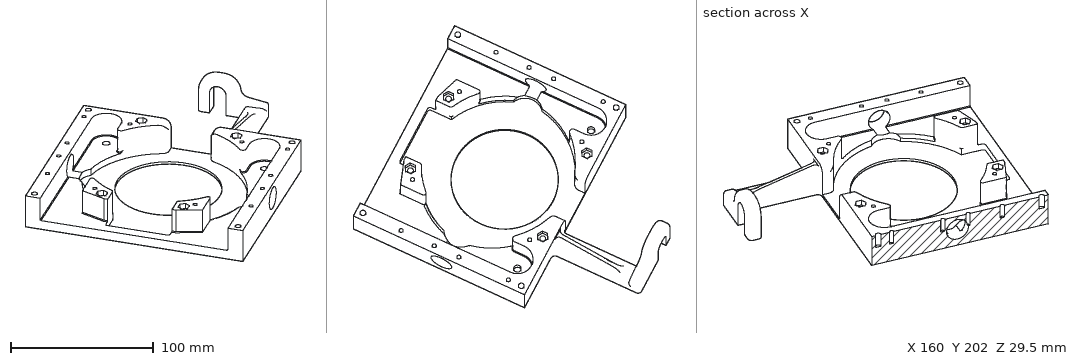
import cadquery as cq
import math

width = 160.0
depth = 134.0
height = 25.0
floor_z = 7.0
recess_z = 2.0
rail_width = 11.0
rail_inner_x = width / 2 - rail_width
foot = 0.6

bore_y = 78.8
bore_radius = 37.5
cross_hole_y = 68.9
cross_hole_z = 13.7
cross_hole_radius = 8.0
recess_radius = 58.4
lobe_x = 49.9
lobe_y = 69.9
lobe_radius = 12.3
tray_half_width = 23.6
tray_front_y = 7.7
tray_corner_radius = 2.0
rim_chamfer = 2.2
rim_front_y = 38.0

notch_half_width = 15.5
notch_top_radius = 6.3
notch_corner_radius = 5.3

bay_radius = 11.0
bay_x = rail_inner_x - bay_radius
bay_y = 117.5
bay_tip_radius = 2.5
bay_hole_radius = 2.6
bay_hole_depth = 4.0

post_outer_x = 44.2
post_bend_x = 26.5
post_front_y = 13.1
post_slant_y = 19.2
post_back_radius = 1.6
post_corner_radius = 2.0

screw_edge = 5.0
screw_x = width / 2 - screw_edge
large_screw_radius = 2.0
small_screw_radius = 1.5
screw_depth = 10.0
large_screw_ys = (screw_edge, depth - screw_edge)
small_screw_ys = (35.0, 60.8, 80.0, 118.8)
pin_places = ((41.2, 118.8), (37.0, 25.0))
nut_places = ((35.0, 125.8), (30.0, 20.0))
nut_flats = 7.0
nut_depth = 4.0
bolt_radius = 2.0

arm_left_x = 19.5
arm_right_x = 35.1
arm_height = 10.0
arm_round = 3.0
arm_flare = 3.2
rib_width = 2.6
rib_length = 50.0
rib_height = 21.8
rib_foot = 1.8
hook_back_y = 202.0
hook_thickness = 10.0
hook_half_width = 15.0
hook_height = 29.5
hook_corner_radius = 13.0
hook_slot_radius = 6.0
hook_slot_z = 16.2
hook_bend_radius = 6.0
bar_inner_z = 13.7
bar_outer_z = 11.0
bar_end_round = 1.6


def block(x0, x1, y0, y1, z0, z1):
    """Axis-aligned box between two opposite corners."""
    return cq.Workplane("XY").box(x1 - x0, y1 - y0, z1 - z0, centered=False).translate((x0, y0, z0))


def cylinder(x, y, radius, z0, z1):
    """Upright cylinder between two heights."""
    return cq.Workplane("XY", origin=(x, y, z0)).circle(radius).extrude(z1 - z0)


def both_sides(shape):
    """The shape together with its mirror image across the YZ plane."""
    return shape.union(shape.mirror("YZ"))


def near(x, y, z):
    return cq.selectors.NearestToPointSelector((x, y, z))


def recess():
    """Lens of two equal circles with a lobe at each side and a tray toward the front."""
    lens = cylinder(0, bore_y, recess_radius, recess_z, height)
    lens = lens.intersect(cylinder(0, cross_hole_y, recess_radius, recess_z, height))
    lobe = cylinder(lobe_x, lobe_y, lobe_radius, recess_z, height)
    tray = block(-tray_half_width, tray_half_width, tray_front_y, bore_y, recess_z, height)
    tray = tray.edges("|Z and <Y").fillet(tray_corner_radius)
    notch = block(-notch_half_width, notch_half_width, bore_y, depth, recess_z, height)
    return lens.union(both_sides(lobe)).union(tray).union(notch)


def rear_block():
    """Solid rear corner between the rail and the notch, hollowed by the side bay."""
    wall = block(notch_half_width, rail_inner_x, cross_hole_y, depth, floor_z, height)
    bay = block(bay_x - bay_radius, rail_inner_x, 0, bay_y, floor_z, height)
    bay = bay.union(cylinder(bay_x, bay_y, bay_radius, floor_z, height))
    lens = cylinder(0, cross_hole_y, recess_radius, floor_z, height)
    wall = wall.cut(bay).cut(lens)
    tip_x = bay_x - bay_radius
    tip_y = cross_hole_y + math.sqrt(recess_radius**2 - tip_x**2)
    wall = wall.edges(near(tip_x, tip_y, height / 2)).fillet(bay_tip_radius)
    return wall


def post():
    """Five-sided post whose inner side follows the recess."""
    body = (
        cq.Workplane("XY", origin=(0, 0, floor_z))
        .moveTo(tray_half_width, post_front_y)
        .lineTo(post_bend_x, post_front_y)
        .lineTo(post_outer_x, post_slant_y)
        .lineTo(post_outer_x, bore_y)
        .lineTo(tray_half_width, bore_y)
        .close()
        .extrude(height - floor_z)
        .cut(cylinder(0, bore_y, recess_radius, floor_z, height))
    )
    tray_y = bore_y - math.sqrt(recess_radius**2 - tray_half_width**2)
    back_y = bore_y - math.sqrt(recess_radius**2 - post_outer_x**2)
    body = body.edges(near(tray_half_width, tray_y, height / 2)).fillet(post_corner_radius)
    return body.edges(near(post_outer_x, back_y, height / 2)).fillet(post_back_radius)


def notch_shoulders():
    """Cutter that rounds the top corners of the notch along its length."""
    shoulder_x = notch_half_width + notch_top_radius
    top = block(0, shoulder_x, bore_y, depth, height - notch_top_radius, height)
    round_axis = cq.Workplane("XZ", origin=(shoulder_x, depth, height - notch_top_radius))
    return top.cut(round_axis.circle(notch_top_radius).extrude(depth - bore_y))


def rim_bevel():
    """Cone that bevels the recess rim between the lobes and the posts."""
    cone = cq.Workplane("XY").add(
        cq.Solid.makeCone(
            recess_radius,
            recess_radius + rim_chamfer,
            rim_chamfer,
            pnt=cq.Vector(0, bore_y, floor_z - rim_chamfer),
            dir=cq.Vector(0, 0, 1),
        )
    )
    return cone.intersect(block(-width / 2, width / 2, rim_front_y, lobe_y, 0, floor_z))


def cross_hole():
    hole = cq.Workplane("YZ", origin=(lobe_x, cross_hole_y, cross_hole_z))
    return hole.circle(cross_hole_radius).extrude(width / 2 - lobe_x)


def screw_holes():
    """Blind and through holes of the +X half, with hexagonal nut pockets."""
    holes = cylinder(bay_x, bay_y, bay_hole_radius, floor_z - bay_hole_depth, floor_z)
    for y in large_screw_ys:
        holes = holes.union(cylinder(screw_x, y, large_screw_radius, height - screw_depth, height))
    for y in small_screw_ys:
        holes = holes.union(cylinder(screw_x, y, small_screw_radius, height - screw_depth, height))
    for x, y in pin_places:
        holes = holes.union(cylinder(x, y, small_screw_radius, height - screw_depth, height))
    for x, y in nut_places:
        nut = (
            cq.Workplane("XY", origin=(x, y, height - nut_depth))
            .transformed(rotate=(0, 0, 90))
            .polygon(6, nut_flats / math.cos(math.pi / 6))
            .extrude(nut_depth)
        )
        holes = holes.union(nut).union(cylinder(x, y, bolt_radius, 0, height))
    return holes


def frame():
    body = block(-width / 2, width / 2, 0, depth, 0, floor_z)
    rail = block(rail_inner_x, width / 2, 0, depth, floor_z, height)
    body = body.union(both_sides(rail)).union(both_sides(rear_block()))
    body = body.cut(rim_bevel()).union(both_sides(post()))
    body = body.cut(recess())

    notch_y = cross_hole_y + math.sqrt(recess_radius**2 - notch_half_width**2)
    for side in (-1, 1):
        corner = body.edges(near(side * notch_half_width, notch_y, height / 2))
        body = corner.fillet(notch_corner_radius)

    body = body.cut(both_sides(notch_shoulders()))
    body = body.cut(cylinder(0, bore_y, bore_radius, 0, height))
    body = body.cut(both_sides(cross_hole())).cut(both_sides(screw_holes()))

    foot_places = (
        (rail_inner_x, cross_hole_y / 2),
        (bay_x, bay_y + bay_radius),
        ((tray_half_width + post_bend_x) / 2, post_front_y),
        ((post_bend_x + post_outer_x) / 2, (post_front_y + post_slant_y) / 2),
    )
    foot_edges = []
    for x, y in foot_places:
        for side in (-1, 1):
            foot_edges.append(body.edges(near(side * x, y, floor_z)).val())
    return body.newObject(foot_edges).chamfer(foot)


def hook():
    """Upright arch whose right leg bends into a sloping bar that reaches the arm."""
    front_y = hook_back_y - hook_thickness
    middle_y = hook_back_y - hook_thickness / 2
    arch = block(-hook_half_width, hook_half_width, front_y, hook_back_y, 0, hook_height)
    arch = arch.edges("|Y and >Z").fillet(hook_corner_radius)
    bar = (
        cq.Workplane("XZ", origin=(0, hook_back_y, 0))
        .moveTo(0, 0)
        .lineTo(0, bar_inner_z)
        .lineTo(hook_half_width, bar_inner_z)
        .lineTo(arm_right_x, bar_outer_z)
        .lineTo(arm_right_x, 0)
        .close()
        .extrude(hook_thickness)
    )
    bar = bar.edges(near(arm_right_x, middle_y, bar_outer_z)).fillet(bar_end_round)
    body = arch.union(bar)
    body = body.edges(near(hook_half_width, middle_y, bar_inner_z)).fillet(hook_bend_radius)
    body = body.faces("<Y or >Y").edges("not <Z").fillet(arm_round)
    slot = block(-hook_slot_radius, hook_slot_radius, front_y, hook_back_y, 0, hook_slot_z)
    slot_top = cq.Workplane("XZ", origin=(0, hook_back_y, hook_slot_z))
    return body.cut(slot).cut(slot_top.circle(hook_slot_radius).extrude(hook_thickness))


def arm():
    """Low bar from the frame to the hook, rounded along its top."""
    bar = block(arm_left_x, arm_right_x, depth, hook_back_y - hook_thickness / 2, 0, arm_height)
    return bar.edges("|Y and >Z").fillet(arm_round)


def rib():
    """Triangular stiffener standing on the arm against the rear wall."""
    centre_x = (arm_left_x + arm_right_x) / 2
    return (
        cq.Workplane("YZ", origin=(centre_x, 0, 0))
        .moveTo(depth, arm_height)
        .lineTo(depth + rib_length, arm_height)
        .lineTo(depth, rib_height)
        .close()
        .extrude(rib_width / 2, both=True)
    )


def ribbed_arm():
    """Arm and rib with a fillet along both sides of the rib's foot."""
    body = arm().union(rib())
    centre_x = (arm_left_x + arm_right_x) / 2
    for side in (-1, 1):
        foot_line = near(centre_x + side * rib_width / 2, depth + rib_length / 2, arm_height)
        body = body.edges(foot_line).fillet(rib_foot)
    return body


flared = frame().union(ribbed_arm())
root = cq.selectors.BoxSelector(
    (arm_left_x - 2, depth - 0.2, 0.2), (arm_right_x + 2, depth + 0.2, arm_height + 1.0)
)
flared = flared.edges(root).fillet(arm_flare)
result = flared.union(hook())